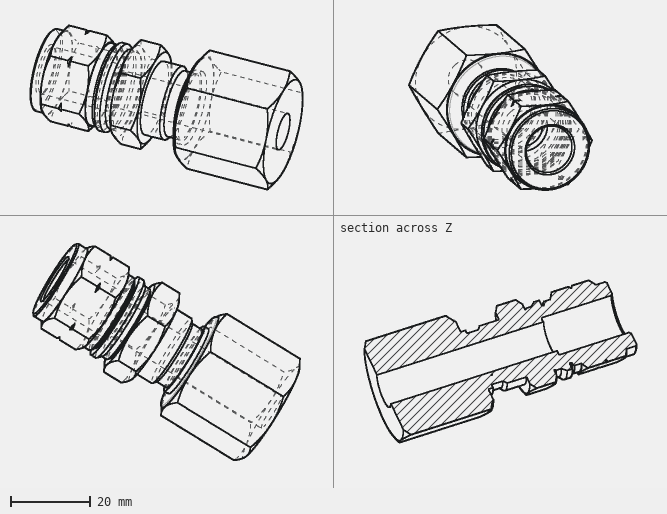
import cadquery as cq
import math

total_length = 64.5
bevel_angle = math.radians(30)

nut_diameter = 21.5
nut_face_diameter = 20.6
nut_edge_length = 0.4
nut_end = 17.35
nut_hex_start = 2.95
nut_hex_end = 15.15
nut_hex_flats = 21.9
nut_groove_x = 9.0
nut_groove_depth = 0.7
nut_groove_half_width = 0.4

neck_diameter = 19.2
collar_start = 17.85
collar_cone_start = 19.35
collar_cone_end = 20.45
collar_diameter = 23.0
shoulder_diameter = 20.8
shoulder_edge = 0.4
body_hex_start = 22.25
body_hex_end = 29.6
body_hex_flats = 23.8

waist_cone_start = 34.8
waist_start = 35.6
waist_end = 38.55
waist_diameter = 17.2

end_face_x = 39.85
end_face_length = 0.45
end_face_rounding = 0.4
end_hex_start = end_face_x + end_face_length
end_face_diameter = 26.7
end_hex_flats = 27.0

through_diameter = 9.5
tube_bore_diameter = 12.2
tube_bore_depth = 19.35
tube_mouth_diameter = 13.2


def revolve_profile(points):
    """Revolve a closed outline of (x, radius) points about the X axis."""
    return cq.Workplane("XY").polyline(points).close().revolve(360, (0, 0, 0), (1, 0, 0))


def cylinder(start, end, diameter):
    return cq.Workplane("YZ", origin=(start, 0, 0)).circle(diameter / 2).extrude(end - start)


def beveled_hex(start, end, flats):
    """Hexagon with horizontal flats and conical bevels that begin at the flats."""
    corner_radius = flats / 2 / math.cos(math.pi / 6)
    prism = cq.Workplane("YZ", origin=(start, 0, 0)).polygon(6, 2 * corner_radius).extrude(end - start)
    bevel_length = (corner_radius - flats / 2) * math.tan(bevel_angle)
    envelope = revolve_profile([
        (start, 0),
        (start, flats / 2),
        (start + bevel_length, corner_radius),
        (end - bevel_length, corner_radius),
        (end, flats / 2),
        (end, 0),
    ])
    return prism.intersect(envelope)


def nut_groove():
    """V-groove around the nut that notches only the hexagon corners."""
    corner_radius = nut_hex_flats / 2 / math.cos(math.pi / 6)
    return revolve_profile([
        (nut_groove_x, corner_radius - nut_groove_depth),
        (nut_groove_x - nut_groove_half_width, corner_radius),
        (nut_groove_x + nut_groove_half_width, corner_radius),
    ])


def round_core():
    """Turned outline of the nut, collar, neck and waist, up to the female hexagon."""
    return revolve_profile([
        (0, 0),
        (0, nut_face_diameter / 2),
        (nut_edge_length, nut_diameter / 2),
        (nut_end - nut_edge_length, nut_diameter / 2),
        (nut_end, nut_face_diameter / 2),
        (nut_end, neck_diameter / 2),
        (collar_start, neck_diameter / 2),
        (collar_start, collar_diameter / 2),
        (collar_cone_start, collar_diameter / 2),
        (collar_cone_end, shoulder_diameter / 2),
        (body_hex_start - shoulder_edge, shoulder_diameter / 2),
        (body_hex_start, shoulder_diameter / 2 - shoulder_edge),
        (body_hex_start, neck_diameter / 2),
        (waist_cone_start, neck_diameter / 2),
        (waist_start, waist_diameter / 2),
        (waist_end, waist_diameter / 2),
        (waist_end, neck_diameter / 2),
        (end_hex_start, neck_diameter / 2),
        (end_hex_start, 0),
    ])


def end_face_disc():
    """Round face with a rounded rim in front of the female hexagon."""
    disc = cylinder(end_face_x, end_hex_start, end_face_diameter)
    return disc.faces("<X").edges().fillet(end_face_rounding)


def tube_bore():
    """Stepped bore with a chamfered mouth."""
    mouth_depth = (tube_mouth_diameter - tube_bore_diameter) / 2
    return revolve_profile([
        (0, 0),
        (0, tube_mouth_diameter / 2),
        (mouth_depth, tube_bore_diameter / 2),
        (tube_bore_depth, tube_bore_diameter / 2),
        (tube_bore_depth, 0),
    ])


nut_hex = beveled_hex(nut_hex_start, nut_hex_end, nut_hex_flats).cut(nut_groove())
body_hex = beveled_hex(body_hex_start, body_hex_end, body_hex_flats)
end_hex = beveled_hex(end_hex_start, total_length, end_hex_flats)

result = (
    round_core()
    .union(nut_hex)
    .union(body_hex)
    .union(end_face_disc())
    .union(end_hex)
    .cut(tube_bore())
    .cut(cylinder(0, total_length, through_diameter))
)